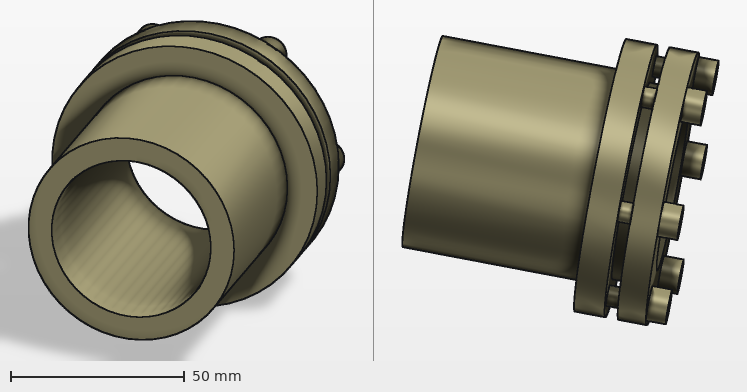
import cadquery as cq

flange_diameter = 80.0
tube_diameter = 62.0
spacer_diameter = 57.8
bore_diameter = 48.0
screw_head_diameter = 10.2
screw_shank_diameter = 6.1

tube_length = 52.2
pipe_flange_thickness = 9.0
flange_gap = 3.8
cover_flange_thickness = 8.3
screw_head_height = 5.8

screw_count = 6
screw_circle_radius = 34.8

gap_start = pipe_flange_thickness
cover_start = gap_start + flange_gap
cover_end = cover_start + cover_flange_thickness


def axial_workplane(y_start):
    """Plane perpendicular to the pipe axis."""
    return cq.Workplane("XZ", origin=(0, y_start, 0))


def axial_cylinder(diameter, y_start, length):
    """Cylinder on the pipe axis, extending toward +Y."""
    return axial_workplane(y_start).circle(diameter / 2).extrude(-length)


def screw_cylinders(diameter, y_start, length):
    """One cylinder at each position of the screw circle."""
    return (
        axial_workplane(y_start)
        .polarArray(screw_circle_radius, 0, 360, screw_count)
        .circle(diameter / 2)
        .extrude(-length)
    )


body = axial_cylinder(tube_diameter, -tube_length, tube_length)
body = body.union(axial_cylinder(flange_diameter, 0, pipe_flange_thickness))
body = body.union(axial_cylinder(spacer_diameter, gap_start, flange_gap))
body = body.union(axial_cylinder(flange_diameter, cover_start, cover_flange_thickness))

body = body.union(screw_cylinders(screw_shank_diameter, gap_start, flange_gap))
body = body.union(screw_cylinders(screw_head_diameter, cover_end, screw_head_height))

bore_length = tube_length + cover_end
result = body.cut(axial_cylinder(bore_diameter, -tube_length, bore_length))